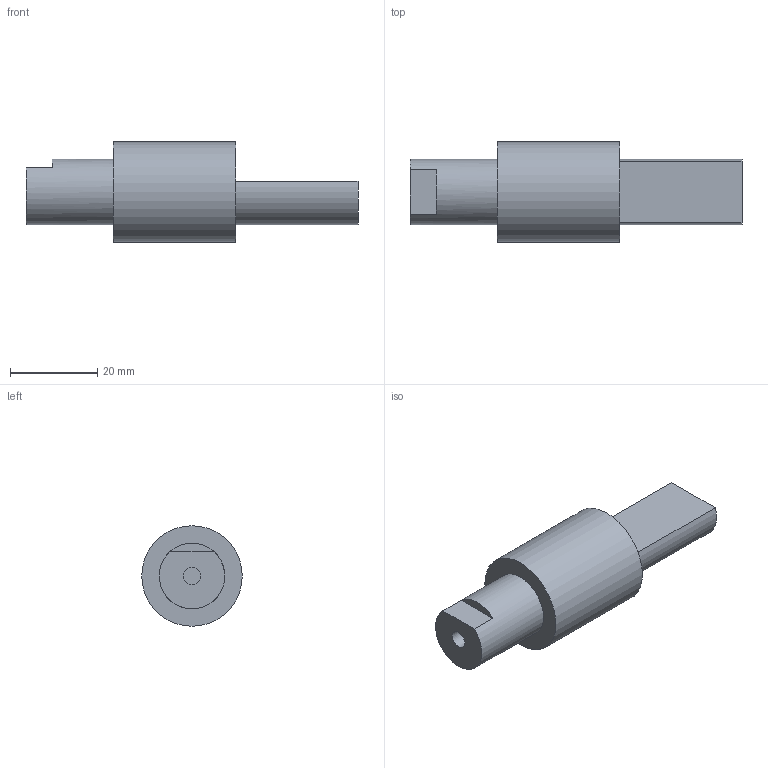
import cadquery as cq

journal_diameter = 15.0
journal_length = 20.0
collar_diameter = 23.0
collar_length = 28.0
tail_length = 28.0

journal_flat_height = 5.5
journal_flat_length = 6.0
tail_flat_height = 2.5

hole_diameter = 4.0
hole_depth = 10.0

collar_start = journal_length
tail_start = collar_start + collar_length


def cylinder_along_x(start, length, diameter):
    return cq.Workplane("YZ", origin=(start, 0, 0)).circle(diameter / 2).extrude(length)


def flat_cutter(start, length, height):
    """Block that removes everything above the given height over a length of shaft."""
    return cq.Workplane("XY", origin=(start, 0, height)).box(
        length, journal_diameter, journal_diameter, centered=(False, True, False)
    )


def make_journal():
    journal = cylinder_along_x(0, journal_length, journal_diameter)
    journal = journal.cut(flat_cutter(0, journal_flat_length, journal_flat_height))
    return journal.cut(cylinder_along_x(0, hole_depth, hole_diameter))


def make_tail():
    tail = cylinder_along_x(tail_start, tail_length, journal_diameter)
    return tail.cut(flat_cutter(tail_start, tail_length, tail_flat_height))


collar = cylinder_along_x(collar_start, collar_length, collar_diameter)
result = collar.union(make_journal()).union(make_tail())